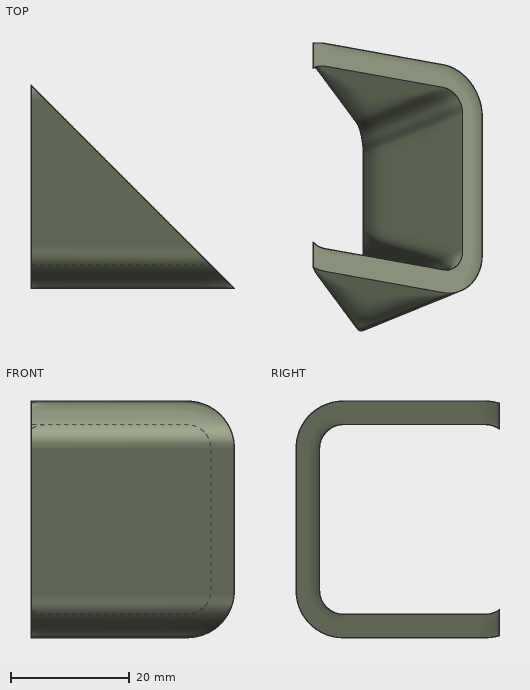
import cadquery as cq

tube_side = 40.0
wall = 4.0
outer_radius = 8.0
inner_radius = 4.0

mitre_leg = 34.35


def rounded_bar(side, corner_radius):
    """Square bar along X with rounded long edges, centred on the tube axis."""
    return (
        cq.Workplane("YZ")
        .center(tube_side / 2, 0)
        .rect(side, side)
        .extrude(mitre_leg)
        .edges("|X")
        .fillet(corner_radius)
    )


outer_bar = rounded_bar(tube_side, outer_radius)
bore = rounded_bar(tube_side - 2 * wall, inner_radius)
tube = outer_bar.cut(bore)

mitre_prism = (
    cq.Workplane("XY")
    .polyline([(0, 0), (mitre_leg, 0), (0, mitre_leg)])
    .close()
    .extrude(tube_side / 2, both=True)
)

result = tube.intersect(mitre_prism)